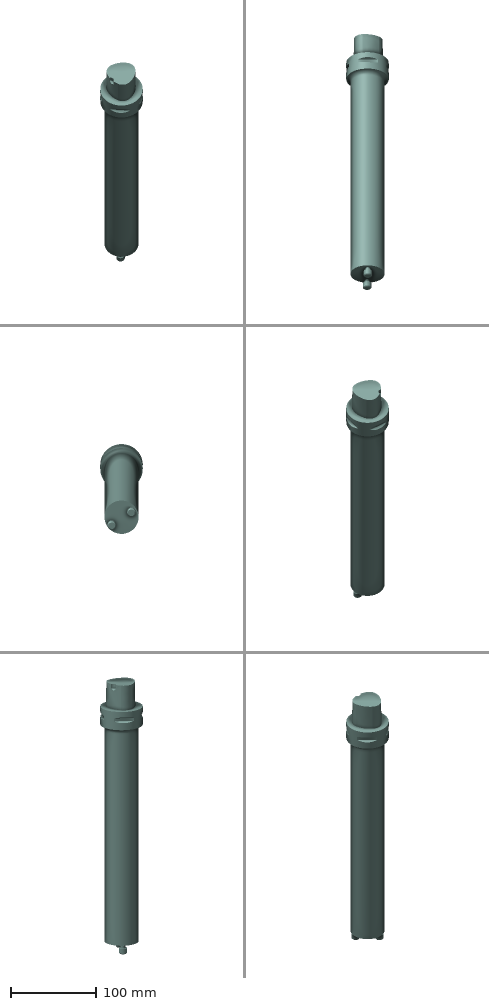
import cadquery as cq
import math

total_length = 329.0
flange_dia = 50.0
flange_height = 22.5
body_dia = 40.0

shank_height = 30.0
lobe_reach = 18.5
flat_reach = 16.0
lobe_radius = 11.5
lobe_count = 3
shank_taper_angle = 1.0

notch_dia = 7.2
notch_depth = 5.5
notch_bite = 2.5
drill_point_angle = 118.0

groove_count = 4
groove_depth = 3.0
groove_floor_height = 3.5
groove_flank_angle = 30.0
groove_mid_depth = 10.2

pin_offset = 10.0
pin_shank_dia = 6.0
pin_shank_length = 4.3
pin_shank_chamfer = 1.0
pin_head_dia = 10.0
pin_head_height = 7.0
pin_head_chamfer = 1.0

flange_radius = flange_dia / 2
body_radius = body_dia / 2
neck_radius = flange_radius - body_radius
body_bottom = shank_height - total_length + pin_shank_length + pin_head_height


def polar(radius, degrees):
    """Point at a distance and direction from the axis."""
    angle = math.radians(degrees)
    return (radius * math.cos(angle), radius * math.sin(angle))


def make_shank():
    """Six tangent arcs: three tight lobes, one pointing to +Y, joined by three flatter sides."""
    lobe_center = lobe_reach - lobe_radius
    reach_drop = lobe_reach - flat_reach
    flat_center = reach_drop * (2 * lobe_center - reach_drop) / (lobe_center - 2 * reach_drop)
    flat_radius = flat_reach + flat_center
    half_step = 180 / lobe_count
    joint_angle = math.degrees(math.atan2(
        lobe_center * math.sin(math.radians(half_step)),
        lobe_center * math.cos(math.radians(half_step)) + flat_center,
    ))
    along = flat_radius * math.cos(math.radians(joint_angle)) - flat_center
    across = flat_radius * math.sin(math.radians(joint_angle))
    joint_reach = math.hypot(along, across)
    joint_offset = half_step - math.degrees(math.atan2(across, along))

    outline = cq.Workplane("XY").moveTo(*polar(joint_reach, 90 - joint_offset))
    for i in range(lobe_count):
        lobe = 90 + i * 2 * half_step
        outline = outline.threePointArc(polar(lobe_reach, lobe), polar(joint_reach, lobe + joint_offset))
        next_joint = lobe + 2 * half_step - joint_offset
        outline = outline.threePointArc(polar(flat_reach, lobe + half_step), polar(joint_reach, next_joint))
    return outline.close().extrude(shank_height, taper=shank_taper_angle)


def make_notch():
    """Vertical drilled hole, with its pointed bottom, bitten into the flat side of the shank."""
    radius = notch_dia / 2
    point_depth = radius / math.tan(math.radians(drill_point_angle / 2))
    flat_side = flat_reach - shank_height * math.tan(math.radians(shank_taper_angle))
    profile = (
        cq.Workplane("XZ")
        .moveTo(0, shank_height)
        .lineTo(radius, shank_height)
        .lineTo(radius, shank_height - notch_depth)
        .lineTo(0, shank_height - notch_depth - point_depth)
        .close()
    )
    return profile.revolve(360, (0, 0), (0, 1)).translate((0, notch_bite - radius - flat_side, 0))


def make_body():
    """Flange and long round body, joined by a concave neck."""
    neck_end = -flange_height - neck_radius
    arc_reach = neck_radius * math.sqrt(0.5)
    return (
        cq.Workplane("XZ")
        .moveTo(0, 0)
        .lineTo(flange_radius, 0)
        .lineTo(flange_radius, -flange_height)
        .threePointArc((flange_radius - arc_reach, neck_end + arc_reach), (body_radius, neck_end))
        .lineTo(body_radius, body_bottom)
        .lineTo(0, body_bottom)
        .close()
        .revolve(360, (0, 0), (0, 1))
    )


def make_groove(angle):
    """Straight groove with sloped flanks, cut across the flange rim at the given angle."""
    flare = groove_depth * math.tan(math.radians(groove_flank_angle))
    inner = flange_radius - groove_depth
    half_floor = groove_floor_height / 2
    return (
        cq.Workplane("XZ")
        .polyline([
            (inner, -groove_mid_depth + half_floor),
            (flange_radius, -groove_mid_depth + half_floor + flare),
            (flange_radius, -groove_mid_depth - half_floor - flare),
            (inner, -groove_mid_depth - half_floor),
        ])
        .close()
        .extrude(flange_radius, both=True)
        .rotate((0, 0, 0), (0, 0, 1), angle)
    )


def make_pin(x, y):
    """Headed pin hanging from the end face of the body."""
    shank = (
        cq.Workplane("XY", origin=(x, y, body_bottom))
        .circle(pin_shank_dia / 2).extrude(-pin_shank_length)
        .faces(">Z").chamfer(pin_shank_chamfer)
    )
    head = (
        cq.Workplane("XY", origin=(x, y, body_bottom - pin_shank_length))
        .circle(pin_head_dia / 2).extrude(-pin_head_height)
        .faces("<Z").chamfer(pin_head_chamfer)
    )
    return shank.union(head)


groove_step = 360 / groove_count
result = make_body().union(make_shank()).cut(make_notch())
for i in range(groove_count):
    result = result.cut(make_groove((i + 0.5) * groove_step))
for side in (-1, 1):
    result = result.union(make_pin(side * pin_offset, -side * pin_offset))